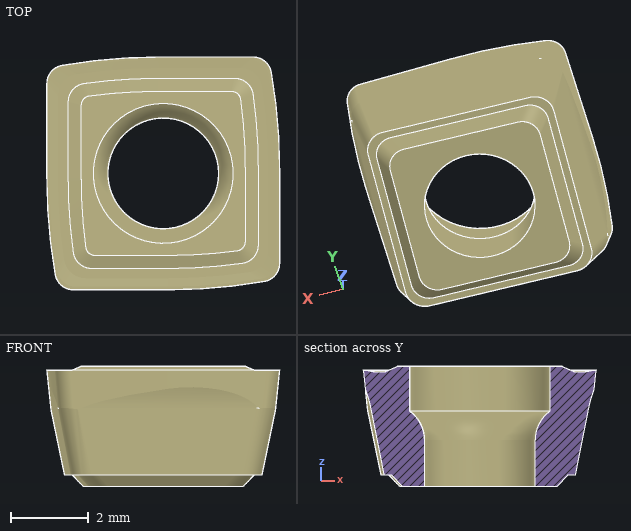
import cadquery as cq
import math

ORIGIN = cq.Vector(0, 0, 0)
Z_AXIS = cq.Vector(0, 0, 1)

half_width = 3.0
base_ledge_z = 0.3
flare_start_z = 2.02
rim_z = 3.0
top_z = 3.1
groove_floor_z = 2.96

edge_arc_radius = 14.4
edge_arc_start = 0.12
corner_radius = 0.48
flank_foot_corner_radius = 0.54
upper_clearance_angle = 6.0

body_turn = 2.4
body_half_at_ledge = 2.465
body_corner_radius = 0.51
lower_clearance_angle = 11.2
flare_radius = 2.82

base_half = 1.99
base_chamfer_run = 0.28
base_corner_radius = 0.48

rim_width = 0.08
floor_outer_inset = 0.295
floor_outer_radius = 0.57
floor_inner_inset = 0.55
floor_inner_radius = 0.48
land_inset = 0.89
land_radius = 0.24

head_radius = 1.8
bore_radius = 1.42
seat_top_z = 1.945
seat_bottom_z = 1.195


def edge_outline(inset, radius, z):
    """Wire parallel to the cutting edge, moved inward by `inset`, with rounded corners."""
    arc_centre = cq.Vector(edge_arc_start, edge_arc_radius - half_width)
    corner_x = half_width - inset - radius
    reach = edge_arc_radius - inset - radius
    corner_y = arc_centre.y - math.sqrt(reach**2 - (corner_x - arc_centre.x) ** 2)
    corner = cq.Vector(corner_x, corner_y)
    tilt = math.asin((corner_x - arc_centre.x) / reach)

    def on_circle(centre, circle_radius, angle):
        """Point at `angle` from straight down, turning towards +X."""
        return centre + cq.Vector(math.sin(angle), -math.cos(angle)) * circle_radius

    arc_radius = edge_arc_radius - inset
    straight_end = on_circle(arc_centre, arc_radius, 0)
    arc_middle = on_circle(arc_centre, arc_radius, tilt / 2)
    arc_end = on_circle(arc_centre, arc_radius, tilt)
    corner_middle = on_circle(corner, radius, (tilt + math.pi / 2) / 2)
    corner_end = on_circle(corner, radius, math.pi / 2)
    straight_start = cq.Vector(corner_end.y, -corner_end.x)

    edges = []
    for quarter in range(4):
        side = [
            cq.Edge.makeLine(straight_start, straight_end),
            cq.Edge.makeThreePointArc(straight_end, arc_middle, arc_end),
            cq.Edge.makeThreePointArc(arc_end, corner_middle, corner_end),
        ]
        edges += [edge.rotate(ORIGIN, Z_AXIS, 90 * quarter) for edge in side]
    return cq.Wire.assembleEdges(edges).translate(cq.Vector(0, 0, z))


def rounded_square(half, radius, z):
    """Square wire with rounded corners, turned with the seating body."""
    square = cq.Workplane().rect(2 * half, 2 * half).extrude(0.06).edges("|Z").fillet(radius)
    wire = square.faces("<Z").val().outerWire()
    return wire.rotate(ORIGIN, Z_AXIS, body_turn).translate(cq.Vector(0, 0, z))


def frustum(lower_wire, upper_wire):
    """Solid with straight sides between two level outlines."""
    return cq.Workplane(cq.Solid.makeLoft([lower_wire, upper_wire], True))


def upper_flanks():
    """Tapered prism under the cutting edge, carried down to the ledge level."""
    taper_inset = (rim_z - base_ledge_z) * math.tan(math.radians(upper_clearance_angle))
    return frustum(
        edge_outline(taper_inset, flank_foot_corner_radius, base_ledge_z),
        edge_outline(0, corner_radius, rim_z),
    )


def seating_body():
    """Flat tapered flanks that sweep outward through a concave arc towards the rim."""
    slope = math.radians(lower_clearance_angle)
    half_at_flare = body_half_at_ledge + (flare_start_z - base_ledge_z) * math.tan(slope)
    lower = frustum(
        rounded_square(body_half_at_ledge, body_corner_radius, base_ledge_z),
        rounded_square(half_at_flare, body_corner_radius, flare_start_z),
    )

    def flare_point(angle):
        """Half width and height where the flare leans out by `angle`."""
        x = half_at_flare + flare_radius * (math.cos(slope) - math.cos(angle))
        z = flare_start_z + flare_radius * (math.sin(angle) - math.sin(slope))
        return x, z

    end_angle = math.asin(math.sin(slope) + (rim_z - flare_start_z) / flare_radius)
    end_x, end_z = flare_point(end_angle)
    middle_x, middle_z = flare_point((slope + end_angle) / 2)
    across = (
        cq.Workplane("XZ")
        .moveTo(-half_at_flare, flare_start_z)
        .lineTo(half_at_flare, flare_start_z)
        .threePointArc((middle_x, middle_z), (end_x, end_z))
        .lineTo(-end_x, end_z)
        .threePointArc((-middle_x, middle_z), (-half_at_flare, flare_start_z))
        .close()
        .extrude(2 * half_width, both=True)
        .rotate(ORIGIN, Z_AXIS, body_turn)
    )
    flare = across.intersect(across.rotate(ORIGIN, Z_AXIS, 90))
    return lower.union(flare)


def base_step():
    """Chamfered foot, set in from the flanks by a narrow ledge."""
    return frustum(
        rounded_square(base_half, base_corner_radius, 0),
        rounded_square(base_half + base_chamfer_run, base_corner_radius, base_ledge_z),
    )


def chip_groove():
    """Shallow pocket inside the rim, with sides sloping down to a flat floor."""
    return frustum(
        edge_outline(floor_outer_inset, floor_outer_radius, groove_floor_z),
        edge_outline(rim_width, corner_radius, rim_z),
    )


def centre_land():
    """Flat-topped island rising from the groove floor around the screw hole."""
    return frustum(
        edge_outline(floor_inner_inset, floor_inner_radius, groove_floor_z),
        edge_outline(land_inset, land_radius, top_z),
    )


def screw_hole():
    """Head bore leading through a convex seat, tangent to the through bore."""
    seat_width = head_radius - bore_radius
    seat_height = seat_top_z - seat_bottom_z
    seat_radius = (seat_width**2 + seat_height**2) / (2 * seat_width)
    half_sweep = math.asin(seat_height / seat_radius) / 2
    seat_middle = (
        bore_radius + seat_radius * (1 - math.cos(half_sweep)),
        seat_bottom_z + seat_radius * math.sin(half_sweep),
    )
    return (
        cq.Workplane("XZ")
        .lineTo(bore_radius, 0)
        .lineTo(bore_radius, seat_bottom_z)
        .threePointArc(seat_middle, (head_radius, seat_top_z))
        .lineTo(head_radius, top_z)
        .lineTo(0, top_z)
        .close()
        .revolve(360, (0, 0, 0), (0, 1, 0))
    )


insert_body = upper_flanks().intersect(seating_body()).union(base_step())
result = insert_body.cut(chip_groove()).union(centre_land()).cut(screw_hole())